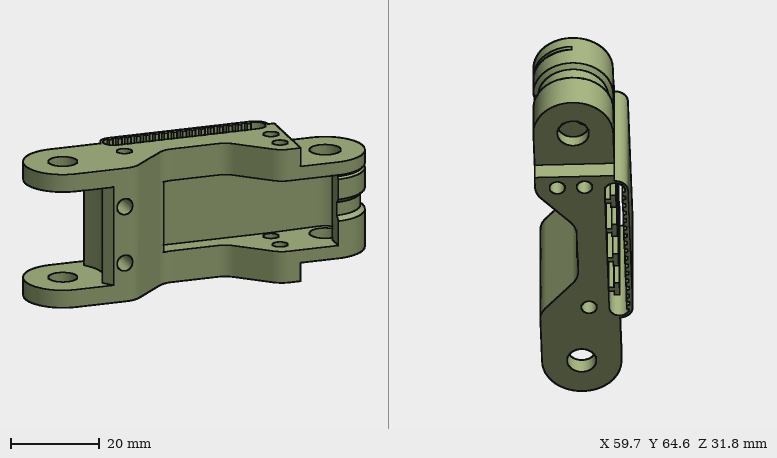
import cadquery as cq
import math


pivot_dx, pivot_dy = 41.7, 46.6
link_angle = math.degrees(math.atan2(pivot_dy, pivot_dx))
pivot_span = math.hypot(pivot_dx, pivot_dy)
end_radius = 9.0
link_height = 31.8

waist_left = 14.0
waist_right = 48.9
waist_angle = 90 - link_angle
waist_radius = 5.0
waist_run = end_radius / math.tan(math.radians(waist_angle))

fork_gap = 23.4
fork_hole_radius = 3.3
fork_floor_radius = 9.4
floor_cusp_y = 6.45
floor_cusp_radius = 1.0
floor_upper_x = 9.9
floor_lower_x = 9.05

tongue_height = 23.0
tongue_hole_radius = 3.55
tongue_start = pivot_span - end_radius

pocket_height = 16.8
pocket_start = 23.9
pocket_bend_x = 51.15
pocket_floor_y = 4.4
pocket_end_radius = 5.0
pocket_floor_tilt = 3.0
bend_reach = 0.4

tendon_depth = 1.05
tendon_half_width = 2.6
tendon_lead = 4.5
thread_depth = 0.5
thread_z = pocket_height / 2 - thread_depth

slot_radius = 2.3
slot_wall = 0.65
slot_left = 15.2
slot_right = 49.1
slot_floor_y = end_radius - slot_radius
slot_roof_y = end_radius + slot_radius
tooth_count = 16
tooth_pitch = 2.2
tooth_height = 0.7
tooth_base = 1.55
tooth_tip = 0.8
rail_count = 4
rail_start = 19.3
rail_pitch = 8.5
rail_stem_width = 1.15
rail_stem_height = 1.2
rail_head_width = 3.5
rail_head_height = 1.2
rail_recess = 1.55

cross_hole_diameter = 3.5
cross_hole_places = [(15.45, 2.1), (50.45, 2.2), (50.45, -3.95)]
edge_hole_diameter = 3.75
edge_hole_x = 11.7
edge_hole_z = 6.7
edge_hole_depth = end_radius
drill_diameter = 1.5
drill_depth = 1.95
drill_tip_angle = 118
drill_entry = (8.9, 8.15)

overlap = 0.65
pick_reach = 0.65


def prism(sketch, height):
    """Extrude an outline symmetrically about the mid-plane."""
    return sketch.extrude(height / 2, both=True)


def upright_edge_at(x, y):
    """Selector for the edges along Z that stand at one corner of an outline."""
    return cq.selectors.BoxSelector(
        (x - pick_reach, y - pick_reach, -link_height),
        (x + pick_reach, y + pick_reach, link_height),
    )


def capsule(x_start, x_end, y, radius):
    """Outline with two parallel sides and round ends, lying along X."""
    return (
        cq.Workplane("XY")
        .moveTo(x_start, y + radius)
        .threePointArc((x_start - radius, y), (x_start, y - radius))
        .lineTo(x_end, y - radius)
        .threePointArc((x_end + radius, y), (x_end, y + radius))
        .close()
    )


def make_body():
    """Rounded bar with its waist cut out of the lower edge."""
    bar = prism(capsule(0, pivot_span, 0, end_radius), link_height)
    lower_edge = [(waist_left, -end_radius), (waist_right, -end_radius)]
    upper_edge = [(waist_right - waist_run, 0), (waist_left + waist_run, 0)]
    waist = prism(cq.Workplane("XY").polyline(lower_edge + upper_edge).close(), link_height)
    body = bar.cut(waist)
    for x, y in lower_edge + upper_edge:
        body = body.edges(upright_edge_at(x, y)).fillet(waist_radius)
    return body


def make_slot_housing():
    """Solid capsule that carries the toothed slot and stands out above the upper edge."""
    return prism(capsule(slot_left, slot_right, end_radius, slot_radius + slot_wall), link_height)


def make_teeth():
    """Row of teeth hanging from the slot roof."""
    teeth = cq.Workplane("XY")
    for i in range(tooth_count):
        x = slot_left + i * tooth_pitch
        root_y = slot_roof_y + slot_wall / 2
        outline = [
            (x - tooth_base / 2, root_y),
            (x - tooth_base / 2, slot_roof_y),
            (x - tooth_tip / 2, slot_roof_y - tooth_height),
            (x + tooth_tip / 2, slot_roof_y - tooth_height),
            (x + tooth_base / 2, slot_roof_y),
            (x + tooth_base / 2, root_y),
        ]
        teeth = teeth.add(prism(cq.Workplane("XY").polyline(outline).close(), link_height))
    return teeth.combine()


def make_rails():
    """T-shaped rails standing on the slot floor."""
    rails = cq.Workplane("XY")
    rail_length = link_height - 2 * rail_recess
    head_y = slot_floor_y + rail_stem_height
    for i in range(rail_count):
        x = rail_start + i * rail_pitch
        stem = cq.Workplane("XY").box(rail_stem_width, rail_stem_height + overlap, rail_length)
        stem = stem.translate((x, head_y - (rail_stem_height + overlap) / 2, 0))
        head = cq.Workplane("XY").box(rail_head_width, rail_head_height, rail_length)
        head = head.translate((x, head_y + rail_head_height / 2, 0))
        rails = rails.add(stem.union(head))
    return rails.combine()


def make_fork_gap():
    """Space between the fork arms, with a scalloped floor around the pivot."""
    outside = end_radius + overlap
    cusp_x = math.sqrt(fork_floor_radius**2 - floor_cusp_y**2)
    upper_slope = (floor_upper_x - cusp_x) / (end_radius - floor_cusp_y)
    lower_slope = (floor_lower_x - cusp_x) / (end_radius - floor_cusp_y)
    gap = prism(
        cq.Workplane("XY")
        .moveTo(-outside, -outside)
        .lineTo(floor_lower_x + lower_slope * overlap, -outside)
        .lineTo(cusp_x, -floor_cusp_y)
        .threePointArc((fork_floor_radius, 0), (cusp_x, floor_cusp_y))
        .lineTo(floor_upper_x + upper_slope * overlap, outside)
        .lineTo(-outside, outside)
        .close(),
        fork_gap,
    )
    for y in (-floor_cusp_y, floor_cusp_y):
        gap = gap.edges(upright_edge_at(cusp_x, y)).fillet(floor_cusp_radius)
    return gap


def make_tongue_steps():
    """Blocks removed above and below the tongue."""
    step_height = (link_height - tongue_height) / 2
    length = 2 * end_radius + overlap
    step = cq.Workplane("XY").box(length, length, step_height)
    step_x = tongue_start + length / 2
    step_z = (tongue_height + step_height) / 2
    return step.translate((step_x, 0, step_z)).union(step.translate((step_x, 0, -step_z)))


def make_pocket():
    """Clearance for the neighbouring link, round about the tongue pivot."""
    outside = -end_radius - overlap
    tangent_angle = math.radians(90 + pocket_floor_tilt)
    tangent_x = pivot_span + pocket_end_radius * math.cos(tangent_angle)
    tangent_y = pocket_end_radius * math.sin(tangent_angle)
    bend_end_y = pocket_floor_y + bend_reach * (tangent_y - pocket_floor_y) / (tangent_x - pocket_bend_x)
    return prism(
        cq.Workplane("XY")
        .moveTo(pocket_start, outside)
        .lineTo(pocket_start, pocket_floor_y)
        .lineTo(pocket_bend_x - bend_reach, pocket_floor_y)
        .tangentArcPoint((pocket_bend_x + bend_reach, bend_end_y), relative=False)
        .lineTo(tangent_x, tangent_y)
        .threePointArc((pivot_span + pocket_end_radius, 0), (pivot_span, -pocket_end_radius))
        .lineTo(pivot_span, outside)
        .close(),
        pocket_height,
    )


def make_tendon_groove():
    """Flat-bottomed groove with 45 degree flanks, around the tip and a short way along the upper edge."""
    outer_half = tendon_half_width + overlap
    inner_half = tendon_half_width - tendon_depth
    bottom = end_radius - tendon_depth
    top = end_radius + overlap
    profile = [(top, -outer_half), (bottom, -inner_half), (bottom, inner_half), (top, outer_half)]
    turn = (
        cq.Workplane("XZ")
        .polyline(profile)
        .close()
        .revolve(180, (0, 0), (0, 1))
        .rotate((0, 0, 0), (0, 0, 1), -90)
    )
    lead = cq.Workplane("YZ").polyline(profile).close().extrude(-tendon_lead)
    return turn.union(lead).translate((pivot_span, 0, 0))


def make_thread_groove():
    """V-groove around the lower quarter of the tip."""
    top = end_radius + overlap
    half_width = thread_depth + overlap
    return (
        cq.Workplane("XZ")
        .polyline([(top, -half_width), (end_radius - thread_depth, 0), (top, half_width)])
        .close()
        .revolve(90, (0, 0), (0, 1))
        .rotate((0, 0, 0), (0, 0, 1), -90)
        .translate((pivot_span, 0, thread_z))
    )


def make_holes():
    """Pivot bores and cross holes through the height, and blind edge holes."""
    fork_bore = prism(cq.Workplane("XY").circle(fork_hole_radius), link_height)
    tongue_bore = prism(cq.Workplane("XY").center(pivot_span, 0).circle(tongue_hole_radius), link_height)
    cross_sketch = cq.Workplane("XY").pushPoints(cross_hole_places).circle(cross_hole_diameter / 2)
    cross_holes = prism(cross_sketch, link_height)
    edge_holes = (
        cq.Workplane("XZ", origin=(edge_hole_x, -end_radius, 0))
        .pushPoints([(0, edge_hole_z), (0, -edge_hole_z)])
        .circle(edge_hole_diameter / 2)
        .extrude(-edge_hole_depth)
    )
    return fork_bore.union(tongue_bore).union(cross_holes).union(edge_holes)


def make_drilled_hole():
    """Blind hole with a conical tip in the fork floor, parallel to X once the link is turned."""
    radius = drill_diameter / 2
    tip_length = radius / math.tan(math.radians(drill_tip_angle / 2))
    drill = (
        cq.Workplane("XY")
        .polyline([(-overlap, 0), (-overlap, radius), (drill_depth, radius), (drill_depth + tip_length, 0)])
        .close()
        .revolve(360, (0, 0), (1, 0))
    )
    return drill.rotate((0, 0, 0), (0, 0, 1), -link_angle).translate((*drill_entry, 0))


link = make_body().union(make_slot_housing())
link = link.cut(prism(capsule(slot_left, slot_right, end_radius, slot_radius), link_height))
link = link.union(make_teeth()).union(make_rails())
link = link.cut(make_fork_gap()).cut(make_tongue_steps()).cut(make_pocket())
link = link.cut(make_tendon_groove()).cut(make_thread_groove()).cut(make_holes()).cut(make_drilled_hole())

result = link.rotate((0, 0, 0), (0, 0, 1), link_angle)